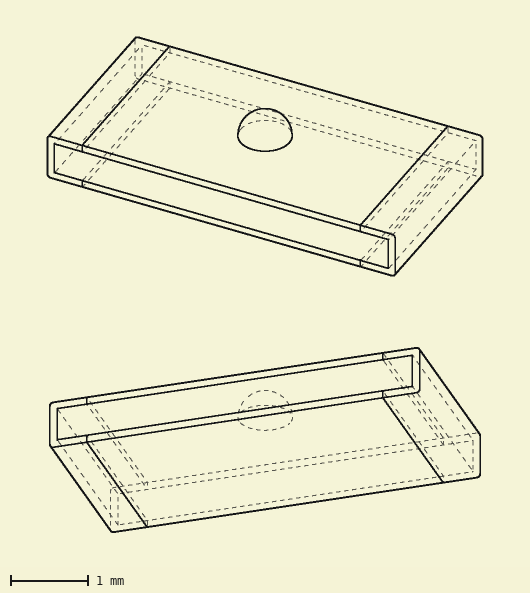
import cadquery as cq

LENGTH = 5.0
WIDTH = 2.5
BLOCK_HEIGHT = 0.65
EDGE_RADIUS = 0.05

LAYER = 0.1
TERMINAL_LENGTH = 0.5

DOME_RADIUS = 0.35

CORE_LENGTH = LENGTH - 2 * LAYER
CORE_HEIGHT = BLOCK_HEIGHT - 2 * LAYER
PLATE_LENGTH = LENGTH - 2 * TERMINAL_LENGTH


def centred_box(length, height, base_z):
    """Full-width box centred on the Z axis, standing on base_z."""
    return (
        cq.Workplane("XY")
        .workplane(offset=base_z)
        .box(length, WIDTH, height, centered=(True, True, False))
    )


def make_core():
    """Rectangular core enclosed by the layers."""
    return centred_box(CORE_LENGTH, CORE_HEIGHT, LAYER)


def make_terminal(side):
    """C-shaped end cap around one end of the core; side is -1 or +1 along X."""
    blank = centred_box(TERMINAL_LENGTH, BLOCK_HEIGHT, 0)
    blank = blank.translate((side * (LENGTH - TERMINAL_LENGTH) / 2, 0, 0))
    outer_face = ">X" if side > 0 else "<X"
    rounded = blank.faces(outer_face).edges("|Y").fillet(EDGE_RADIUS)
    return rounded.cut(make_core())


def make_bottom_plate():
    """Layer under the core, between the terminals."""
    return centred_box(PLATE_LENGTH, LAYER, 0)


def make_top_plate():
    """Layer over the core, between the terminals, carrying the half-ball dome."""
    plate = centred_box(PLATE_LENGTH, LAYER, BLOCK_HEIGHT - LAYER)
    dome = (
        cq.Workplane("XY")
        .sphere(DOME_RADIUS, angle1=0, angle2=90)
        .translate((0, 0, BLOCK_HEIGHT))
    )
    return plate.union(dome)


core = make_core()
terminals = [make_terminal(side) for side in (-1, 1)]
bottom_plate = make_bottom_plate()
top_plate = make_top_plate()

result = cq.Compound.makeCompound(
    [
        core.val(),
        *[terminal.val() for terminal in terminals],
        bottom_plate.val(),
        top_plate.val(),
    ]
)